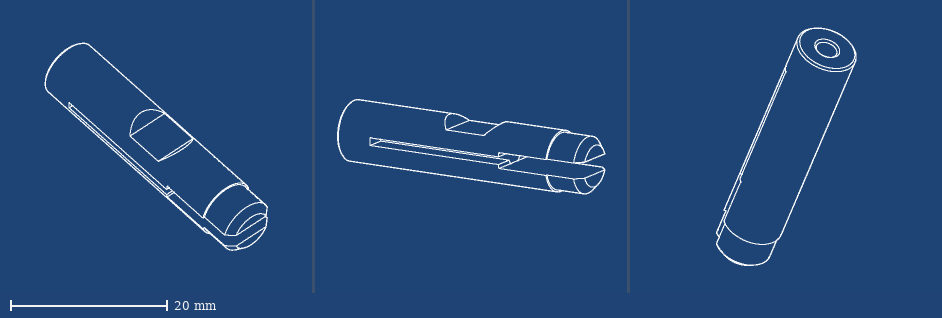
import cadquery as cq

length = 36.15
body_diameter = 8.0
body_chamfer = 0.3

nose_length = 5.0
nose_diameter = 7.5
nose_chamfer = 1.0

bore_diameter = 2.8
bore_chamfer = 0.3

narrow_slot_start = 5.0
narrow_slot_height = 1.0
wide_slot_start = 24.15
wide_slot_height = 2.1

notch_center = 18.5
notch_floor_length = 5.55
notch_depth = 1.25


def turned_body():
    """Revolve the stepped outline about the X axis."""
    body_radius = body_diameter / 2
    nose_radius = nose_diameter / 2
    nose_start = length - nose_length
    outline = [
        (0, 0),
        (0, body_radius - body_chamfer),
        (body_chamfer, body_radius),
        (nose_start, body_radius),
        (nose_start, nose_radius),
        (length - nose_chamfer, nose_radius),
        (length, nose_radius - nose_chamfer),
        (length, 0),
    ]
    return cq.Workplane("XY").polyline(outline).close().revolve(360, (0, 0), (1, 0))


def bore():
    """Flat-ended bore with a chamfered mouth."""
    radius = bore_diameter / 2
    outline = [
        (0, 0),
        (0, radius + bore_chamfer),
        (bore_chamfer, radius),
        (wide_slot_start, radius),
        (wide_slot_start, 0),
    ]
    return cq.Workplane("XY").polyline(outline).close().revolve(360, (0, 0), (1, 0))


def slot(start, height):
    """Slot across the full width, from start to the open +X end."""
    return (
        cq.Workplane("XY")
        .box(length - start, body_diameter, height, centered=(False, True, True))
        .translate((start, 0, 0))
    )


def top_notch():
    """Trapezoidal cut across the full width."""
    top = body_diameter / 2
    half_floor = notch_floor_length / 2
    half_top = half_floor + notch_depth
    outline = [
        (notch_center - half_floor, top - notch_depth),
        (notch_center + half_floor, top - notch_depth),
        (notch_center + half_top, top),
        (notch_center - half_top, top),
    ]
    return cq.Workplane("XZ").polyline(outline).close().extrude(body_diameter / 2, both=True)


result = (
    turned_body()
    .cut(bore())
    .cut(slot(narrow_slot_start, narrow_slot_height))
    .cut(slot(wide_slot_start, wide_slot_height))
    .cut(top_notch())
)